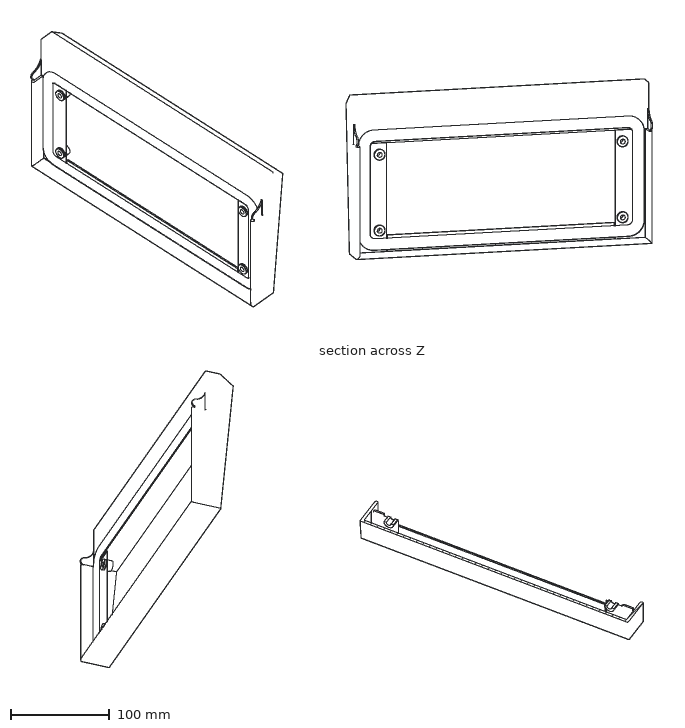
import cadquery as cq
WIDTH = 310.0
HEIGHT = 165.0
DEPTH = 45.3
BASE_DEPTH = 31.5
BACK_CORNER_Z = 153.5
CHAMFER_FRONT_Y = 30.7
HEAD_FRONT_Y = 14.3
WALL = 3.7
SIDE_EDGE_ROUND = 1.1
TOP_EDGE_ROUND = 1.5

RECESS_TOP_Z = 117.0
RECESS_FLOOR_Y = 15.2
FLOOR_THICKNESS = 0.78

OPENING_WIDTH = 240.0
OPENING_SILL = 0.3
RIB_SIDE_GAP = 1.0
RIB_SETBACK = 0.3
RIB_TOP_Z = 20.8
RIB_THICKNESS = 1.5

CHEEK_THICKNESS = 1.5
CHEEK_TOP_Z = 137.5
CHEEK_CURVE_MID = (8.5, 129.0)
LIP_BACK_Y = 3.0
LIP_TOP_Z = 126.8
LIP_BOTTOM_Z = 118.0

FRAME_WIDTH = 299.5
FRAME_BOTTOM_Z = 6.2
FRAME_TOP_Z = 130.8
FRAME_FRONT_Y = 11.8
FRAME_CORNER = 16.0
WINDOW_WIDTH = 275.3
WINDOW_BOTTOM_Z = 18.0
WINDOW_TOP_Z = 119.0
WINDOW_CORNER = 5.3
FRAME_EDGE_ROUND = 1.1

STANDOFF_RADIUS = 5.5
STANDOFF_BORE_RADIUS = 2.5
STANDOFF_LENGTH = 9.3
STANDOFF_PROTRUSION = 1.5
STANDOFF_X = 127.5
STANDOFF_LOW_Z = 26.0
STANDOFF_HIGH_Z = 104.8
STANDOFF_PLACES = [
    (x, z) for x in (-STANDOFF_X, STANDOFF_X) for z in (STANDOFF_LOW_Z, STANDOFF_HIGH_Z)
]

INNER_WIDTH = WIDTH - 2 * WALL
MARGIN = 0.03
RIM_RADIUS = WALL / 2
BACK_SLOPE = (DEPTH - BASE_DEPTH) / BACK_CORNER_Z
CAVITY_FRONT_Y = RECESS_FLOOR_Y + FLOOR_THICKNESS
RIB_FRONT_Y = RECESS_FLOOR_Y + RIB_SETBACK
STANDOFF_FRONT_Y = RECESS_FLOOR_Y - STANDOFF_PROTRUSION


def box(width, y_front, y_back, z_bottom, z_top):
    """Block centred on x = 0."""
    return cq.Workplane("XY").box(
        width, y_back - y_front, z_top - z_bottom, centered=(True, False, False)
    ).translate((0, y_front, z_bottom))


def extruded_along_x(outline, x_start, length):
    """Closed YZ outline, extruded in +X from x_start."""
    return outline.close().extrude(length).translate((x_start, 0, 0))


def case_blank():
    """Solid wedge with rounded side and top edges."""
    outline = (
        cq.Workplane("YZ")
        .moveTo(RIM_RADIUS, 0)
        .lineTo(RIM_RADIUS, RECESS_TOP_Z)
        .lineTo(HEAD_FRONT_Y, RECESS_TOP_Z)
        .lineTo(HEAD_FRONT_Y, HEIGHT)
        .lineTo(CHAMFER_FRONT_Y, HEIGHT)
        .lineTo(DEPTH, BACK_CORNER_Z)
        .lineTo(BASE_DEPTH, 0)
    )
    blank = extruded_along_x(outline, -WIDTH / 2, WIDTH)
    blank = blank.faces(">Z").edges("<Y").fillet(TOP_EDGE_ROUND)
    side_edges = blank.faces("<X or >X").edges().filter(is_rounded_side_edge)
    return side_edges.fillet(SIDE_EDGE_ROUND)


def is_rounded_side_edge(edge):
    """True for the side edges around the head and down the back."""
    middle = edge.Center()
    return middle.y > HEAD_FRONT_Y - MARGIN and middle.z > MARGIN


def back_inner_y(z):
    """Inner face of the sloping back wall."""
    return BASE_DEPTH - WALL + BACK_SLOPE * z


def rim():
    """Half-round bead along the front of the side and bottom walls."""
    side_x = WIDTH / 2 - RIM_RADIUS
    path = (
        cq.Workplane("XZ", origin=(0, RIM_RADIUS, 0))
        .moveTo(-side_x, RECESS_TOP_Z)
        .lineTo(-side_x, RIM_RADIUS)
        .lineTo(side_x, RIM_RADIUS)
        .lineTo(side_x, RECESS_TOP_Z)
    )
    half_round = (
        cq.Workplane("XY", origin=(-side_x, RIM_RADIUS, RECESS_TOP_Z))
        .moveTo(-RIM_RADIUS, 0)
        .threePointArc((0, -RIM_RADIUS), (RIM_RADIUS, 0))
        .close()
    )
    return half_round.sweep(path, transition="right")


def cavity():
    """Space between the recess floor and the sloping back wall."""
    outline = (
        cq.Workplane("YZ")
        .moveTo(CAVITY_FRONT_Y, WALL)
        .lineTo(CAVITY_FRONT_Y, RECESS_TOP_Z)
        .lineTo(back_inner_y(RECESS_TOP_Z), RECESS_TOP_Z)
        .lineTo(back_inner_y(WALL), WALL)
    )
    return extruded_along_x(outline, -INNER_WIDTH / 2, INNER_WIDTH)


def cheek(x_start):
    """Thin ear with a concave front edge, a rounded lip and a notch under the lip."""
    lip_middle_z = (LIP_TOP_Z + LIP_BOTTOM_Z) / 2
    outline = (
        cq.Workplane("YZ")
        .moveTo(HEAD_FRONT_Y, RECESS_TOP_Z)
        .lineTo(HEAD_FRONT_Y, CHEEK_TOP_Z)
        .threePointArc(CHEEK_CURVE_MID, (LIP_BACK_Y, LIP_TOP_Z))
        .threePointArc((0, lip_middle_z), (LIP_BACK_Y, LIP_BOTTOM_Z))
        .lineTo(LIP_BACK_Y, RECESS_TOP_Z)
    )
    return extruded_along_x(outline, x_start, CHEEK_THICKNESS)


def standoff_cylinder(x, z, radius):
    """Cylinder along Y with the length of a standoff."""
    start = cq.Workplane("XZ", origin=(x, STANDOFF_FRONT_Y, z))
    return start.circle(radius).extrude(-STANDOFF_LENGTH)


def make_housing():
    """Hollow case with its recess, rim, opening, rib, cheeks and standoff holes."""
    housing = case_blank()
    housing = housing.cut(box(INNER_WIDTH, RIM_RADIUS, RECESS_FLOOR_Y, WALL, RECESS_TOP_Z))
    housing = housing.union(rim())
    housing = housing.cut(cavity())
    housing = housing.cut(
        box(OPENING_WIDTH, RECESS_FLOOR_Y, CAVITY_FRONT_Y, WALL + OPENING_SILL, RECESS_TOP_Z)
    )
    rib_width = OPENING_WIDTH - 2 * RIB_SIDE_GAP
    housing = housing.union(
        box(rib_width, RIB_FRONT_Y, RIB_FRONT_Y + RIB_THICKNESS, WALL, RIB_TOP_Z)
    )
    for x_start in (-WIDTH / 2, WIDTH / 2 - CHEEK_THICKNESS):
        housing = housing.union(cheek(x_start))
    for x, z in STANDOFF_PLACES:
        housing = housing.cut(standoff_cylinder(x, z, STANDOFF_RADIUS))
    return housing


def make_frame():
    """Flat rounded frame around the window."""
    frame = box(FRAME_WIDTH, FRAME_FRONT_Y, HEAD_FRONT_Y, FRAME_BOTTOM_Z, FRAME_TOP_Z)
    frame = frame.edges("|Y").fillet(FRAME_CORNER)
    window = box(WINDOW_WIDTH, FRAME_FRONT_Y, HEAD_FRONT_Y, WINDOW_BOTTOM_Z, WINDOW_TOP_Z)
    frame = frame.cut(window.edges("|Y").fillet(WINDOW_CORNER))
    return frame.faces("<Y").edges().fillet(FRAME_EDGE_ROUND)


def make_standoff(x, z):
    """Hollow sleeve, bored through."""
    sleeve = standoff_cylinder(x, z, STANDOFF_RADIUS)
    return sleeve.cut(standoff_cylinder(x, z, STANDOFF_BORE_RADIUS))


housing = make_housing()
frame = make_frame()
standoffs = [make_standoff(x, z) for x, z in STANDOFF_PLACES]

result = cq.Compound.makeCompound(
    [housing.val(), frame.val()] + [standoff.val() for standoff in standoffs]
)